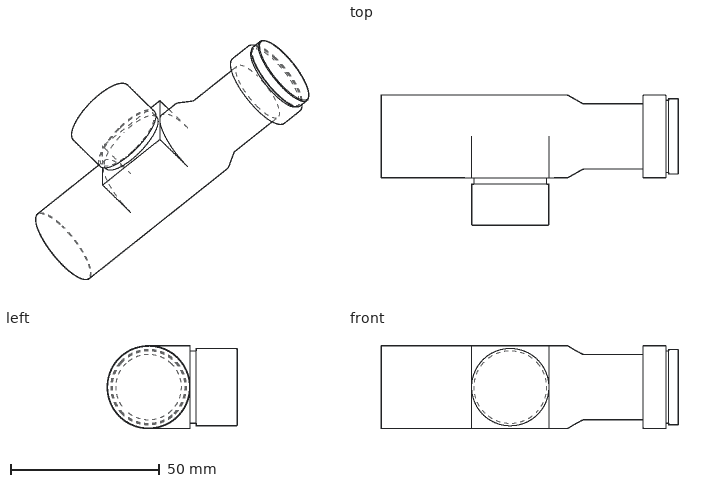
import cadquery as cq

total_length = 100.2
total_depth = 43.9
body_diameter = 28.0
body_radius = body_diameter / 2

taper_start = 62.8
taper_end = 68.0
taper_blend = 1.3
taper_margin = 1.0
collar_start = 88.2
collar_end = 96.0
end_ring_start = 96.8
neck_radius = 11.0
collar_radius = body_radius
groove_radius = 12.2
end_ring_radius = 12.7
body_edge = 0.2
collar_edge = 0.4
end_ring_edge = 0.3

block_start = 30.6
block_width = 26.0
branch_x = block_start + block_width / 2
cap_start = 16.0
branch_reach = total_depth - body_radius
cap_radius = 13.0
branch_neck_radius = 12.2
cap_edge = 0.5


def x_cylinder(radius, start, end):
    """Cylinder on the main axis between two X positions."""
    return cq.Workplane("YZ").workplane(offset=start).circle(radius).extrude(end - start)


def branch_cylinder(radius, start, end):
    """Cylinder on the branch axis between two distances from the main axis."""
    plane = cq.Workplane("XZ", origin=(branch_x, -start, 0))
    return plane.circle(radius).extrude(end - start)


def tapered_body():
    """Solid body and neck joined by a cone with blended corners."""
    profile = (
        cq.Workplane("XY")
        .lineTo(0, body_radius)
        .lineTo(taper_start, body_radius)
        .lineTo(taper_end, neck_radius)
        .lineTo(collar_start, neck_radius)
        .lineTo(collar_start, 0)
        .close()
    )
    body = profile.revolve(360, (0, 0, 0), (1, 0, 0))
    taper_edges = cq.selectors.BoxSelector(
        (taper_start - taper_margin, -body_radius, -body_radius),
        (taper_end + taper_margin, body_radius, body_radius),
    )
    body = body.edges(taper_edges).edges("%CIRCLE").fillet(taper_blend)
    return body.faces("<X").edges().chamfer(body_edge)


def collar_and_end_ring():
    """Rounded collar, narrow groove and chamfered ring at the +X end."""
    collar = x_cylinder(collar_radius, collar_start, collar_end).edges("%CIRCLE").fillet(collar_edge)
    groove = x_cylinder(groove_radius, collar_start, end_ring_start)
    ring = x_cylinder(end_ring_radius, end_ring_start, total_length)
    ring = ring.faces(">X").edges().chamfer(end_ring_edge)
    return collar.union(groove).union(ring)


def side_branch():
    """Flat-faced block on the body with a short neck and a round cap."""
    block = cq.Workplane("XY").box(
        block_width, body_radius, body_diameter, centered=(True, False, True)
    )
    block = block.translate((branch_x, -body_radius, 0))
    neck = branch_cylinder(branch_neck_radius, 0, cap_start)
    cap = branch_cylinder(cap_radius, cap_start, branch_reach)
    cap = cap.faces("<Y").edges().fillet(cap_edge)
    return block.union(neck).union(cap)


result = tapered_body().union(collar_and_end_ring()).union(side_branch())